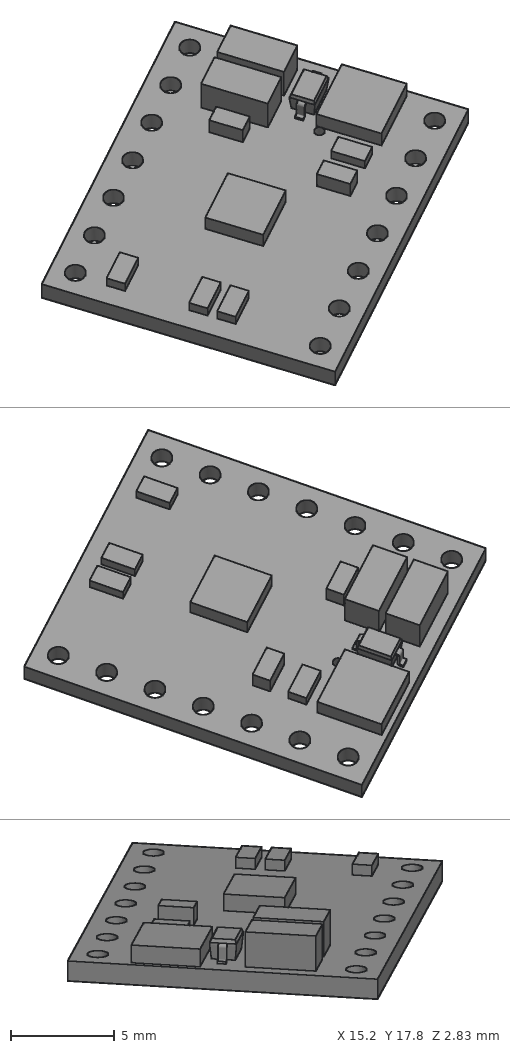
import cadquery as cq


board_width = 15.24
board_length = 17.78
board_thickness = 1.03
pin_hole_diameter = 1.01
pin_pitch = 2.55
pins_per_row = 7
pin_row_spacing = 5 * pin_pitch
via_diameter = 0.52
via_centre = (1.4, 4.98)

large_capacitor = (3.47, 1.8, 1.8)
large_capacitor_terminal = 0.5
large_capacitor_centres = [(-2.74, 7.35), (-2.74, 5.2)]
small_capacitor = (1.75, 0.92, 0.9)
small_capacitor_terminal = 0.32
small_capacitor_centres = [(-2.67, 3.45), (3.41, 2.17)]

resistor = (1.76, 0.96, 0.55)
resistor_contact = 0.46
resistor_contact_depth = 0.009
crosswise_resistor_centres = [(3.43, 4.07)]
lengthwise_resistor_centres = [(-4.18, -6.95), (0.1, -6.95), (1.56, -6.95)]

inductor_side = 3.38
inductor_height = 0.9
inductor_centre = (2.85, 6.92)

chip_side = 3.0
chip_height = 0.85
chip_centre = (0, -1.26)
pads_per_side = 4
pad_pitch = 0.5
pad_width = 0.3
pad_depth = 0.4

seat_height = 0.05

diode_centre = (0.21, 6.65)
diode_width = 1.32
diode_length = 1.83
diode_height = 1.1
diode_draft_inset = 0.07
lead_width = 0.43
lead_thickness = 0.12
lead_top = 0.9
lead_span = 2.68
lead_foot = 0.2
lead_inner_radius = 0.04


def block(length, width, height, centre, base=board_thickness):
    """Rectangular block standing on the level `base`."""
    return (
        cq.Workplane("XY", origin=(centre[0], centre[1], base))
        .box(length, width, height, centered=(True, True, False))
    )


def add(part, other):
    """Fuse two bodies, keeping the seams between their flush faces."""
    return part.union(other, clean=False)


def make_board():
    return (
        block(board_width, board_length, board_thickness, (0, 0), base=0)
        .faces(">Z").workplane(origin=(0, 0, board_thickness))
        .rarray(pin_row_spacing, pin_pitch, 2, pins_per_row)
        .hole(pin_hole_diameter)
        .faces(">Z").workplane(origin=(0, 0, board_thickness))
        .center(*via_centre)
        .hole(via_diameter)
    )


def make_capacitor(size, terminal, centre):
    """Middle block between two flush end terminals."""
    length, width, height = size
    part = block(length - 2 * terminal, width, height, centre)
    for side in (-1, 1):
        terminal_x = centre[0] + side * (length - terminal) / 2
        part = add(part, block(terminal, width, height, (terminal_x, centre[1])))
    return part


def make_resistor(centre, turn=0):
    """Resistor along X, turned about its own vertical axis by `turn` degrees."""
    length, width, height = resistor
    part = block(length, width, height, (0, 0))
    contact_base = board_thickness + height - resistor_contact_depth
    for side in (-1, 1):
        contact_centre = (side * (length - resistor_contact) / 2, 0)
        contact = block(
            resistor_contact, width, resistor_contact_depth, contact_centre, contact_base
        )
        part = add(part, contact)
    return part.rotate((0, 0, 0), (0, 0, 1), turn).translate((centre[0], centre[1], 0))


def make_inductor():
    base = block(inductor_side, inductor_side, seat_height, inductor_centre)
    upper = block(
        inductor_side, inductor_side, inductor_height - seat_height,
        inductor_centre, board_thickness + seat_height,
    )
    return add(base, upper)


def make_chip():
    chip = block(chip_side, chip_side, chip_height, (0, 0))
    for side in range(4):
        for i in range(pads_per_side):
            along = (i - (pads_per_side - 1) / 2) * pad_pitch
            pad_centre = ((chip_side - pad_depth) / 2, along)
            pad = block(pad_depth, pad_width, seat_height, pad_centre)
            chip = add(chip, pad.rotate((0, 0, 0), (0, 0, 1), 90 * side))
    return chip.translate((chip_centre[0], chip_centre[1], 0))


def make_lead():
    """Gull-wing lead on the +Y side, from inside the body down to its foot."""
    inner = lead_inner_radius
    outer = inner + lead_thickness
    tip = lead_span / 2
    shank_out = tip - lead_foot
    shank_in = shank_out - lead_thickness
    root = diode_length / 2 - 2 * diode_draft_inset
    lead_under = lead_top - lead_thickness
    profile = (
        cq.Workplane("YZ", origin=(-lead_width / 2, 0, 0))
        .moveTo(root, lead_top)
        .lineTo(shank_out - outer, lead_top)
        .radiusArc((shank_out, lead_top - outer), outer)
        .lineTo(shank_out, outer)
        .radiusArc((shank_out + inner, lead_thickness), -inner)
        .lineTo(tip, lead_thickness)
        .lineTo(tip, 0)
        .lineTo(shank_in + outer, 0)
        .radiusArc((shank_in, outer), outer)
        .lineTo(shank_in, lead_under - inner)
        .radiusArc((shank_in - inner, lead_under), -inner)
        .lineTo(root, lead_under)
        .close()
    )
    return profile.extrude(lead_width)


def drafted_half(start, end):
    """Loft from the full body outline at level `start` to the inset one at `end`."""
    return (
        cq.Workplane("XY", origin=(0, 0, start))
        .rect(diode_width, diode_length)
        .workplane(offset=end - start)
        .rect(diode_width - 2 * diode_draft_inset, diode_length - 2 * diode_draft_inset)
        .loft(ruled=True)
    )


def make_diode():
    diode = block(diode_width, diode_length, lead_thickness, (0, 0), lead_top - lead_thickness)
    diode = add(diode, drafted_half(lead_top, diode_height))
    diode = add(diode, drafted_half(lead_top - lead_thickness, seat_height))
    lead = make_lead()
    diode = add(diode, lead)
    diode = add(diode, lead.mirror("XZ"))
    return diode.translate((diode_centre[0], diode_centre[1], board_thickness))


components = [make_inductor(), make_chip(), make_diode()]
for centre in large_capacitor_centres:
    components.append(make_capacitor(large_capacitor, large_capacitor_terminal, centre))
for centre in small_capacitor_centres:
    components.append(make_capacitor(small_capacitor, small_capacitor_terminal, centre))
for centre in crosswise_resistor_centres:
    components.append(make_resistor(centre))
for centre in lengthwise_resistor_centres:
    components.append(make_resistor(centre, turn=90))

result = make_board()
for component in components:
    result = add(result, component)